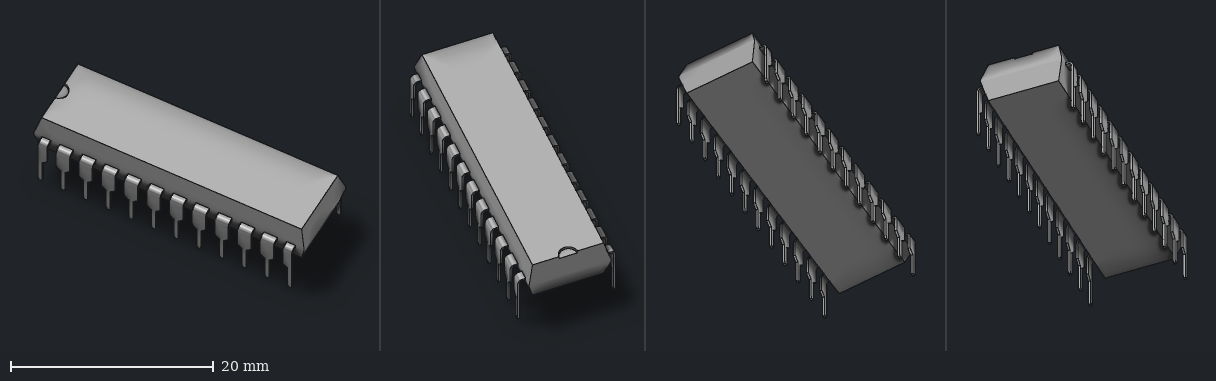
import cadquery as cq

body_length = 30.3
body_width = 8.73
body_height = 4.67
body_inset = 0.58
band_height = 0.35

notch_radius = 1.0
notch_floor_radius = 0.95
notch_depth = 0.2
notch_setback = 0.48

leads_per_side = 12
lead_row_length = 27.95
lead_span = 10.42
lead_thickness = 0.25
bend_radius = 0.55
shoulder_width = 1.5
pin_width = 0.48
pin_tip_z = -5.88
shoulder_z = -2.42
tip_bevel_height = 0.3
tip_bevel_width = 0.1
lead_embed = 0.6

lead_pitch = lead_row_length / (leads_per_side - 1)
half_shoulder = shoulder_width / 2
half_pin = pin_width / 2
half_tip = half_pin - tip_bevel_width
lead_top_z = lead_thickness / 2
lead_outer_y = lead_span / 2
lead_root_y = body_width / 2 - lead_embed


def body_half(direction):
    """Tapered half of the body; direction is +1 for the top, -1 for the bottom."""
    return (
        cq.Workplane("XY", origin=(0, 0, direction * band_height / 2))
        .rect(body_length, body_width)
        .workplane(offset=direction * (body_height - band_height) / 2)
        .rect(body_length - 2 * body_inset, body_width - 2 * body_inset)
        .loft(ruled=True)
    )


def make_body():
    band = cq.Workplane("XY").box(body_length, body_width, band_height)
    body = band.union(body_half(1)).union(body_half(-1))
    notch = (
        cq.Workplane("XY", origin=(notch_setback - body_length / 2, 0, body_height / 2))
        .circle(notch_radius)
        .workplane(offset=-notch_depth)
        .circle(notch_floor_radius)
        .loft(ruled=True)
    )
    return body.cut(notch)


def lead_strip():
    """Bent strip of full shoulder width, seen along X, on the +Y side."""
    inner_y = lead_outer_y - lead_thickness
    return (
        cq.Workplane("YZ", origin=(-half_shoulder, 0, 0))
        .moveTo(lead_root_y, lead_top_z)
        .lineTo(lead_outer_y - bend_radius, lead_top_z)
        .radiusArc((lead_outer_y, lead_top_z - bend_radius), bend_radius)
        .lineTo(lead_outer_y, pin_tip_z)
        .lineTo(inner_y, pin_tip_z)
        .lineTo(inner_y, lead_top_z - bend_radius)
        .radiusArc((lead_outer_y - bend_radius, -lead_top_z), lead_thickness - bend_radius)
        .lineTo(lead_root_y, -lead_top_z)
        .close()
        .extrude(shoulder_width)
    )


def side_outline(shoulder):
    """Edge of the lead from top to tip, for a shoulder reaching this far from the pin's centre."""
    points = [(shoulder, lead_top_z), (shoulder, shoulder_z)]
    if shoulder > half_pin:
        points.append((half_pin, shoulder_z - (shoulder - half_pin)))
    return points + [(half_pin, pin_tip_z + tip_bevel_height), (half_tip, pin_tip_z)]


def make_lead(left_shoulder, right_shoulder):
    left_edge = [(-x, z) for x, z in side_outline(left_shoulder)]
    right_edge = side_outline(right_shoulder)
    face = (
        cq.Workplane("XZ")
        .polyline(left_edge + right_edge[::-1])
        .close()
        .extrude(-lead_span)
    )
    return lead_strip().intersect(face)


result = make_body()
first_lead_x = -lead_row_length / 2
for index in range(leads_per_side):
    left_shoulder = half_pin if index == 0 else half_shoulder
    right_shoulder = half_pin if index == leads_per_side - 1 else half_shoulder
    lead_x = first_lead_x + index * lead_pitch
    lead = make_lead(left_shoulder, right_shoulder).translate((lead_x, 0, 0))
    result = result.union(lead).union(lead.mirror("XZ"))